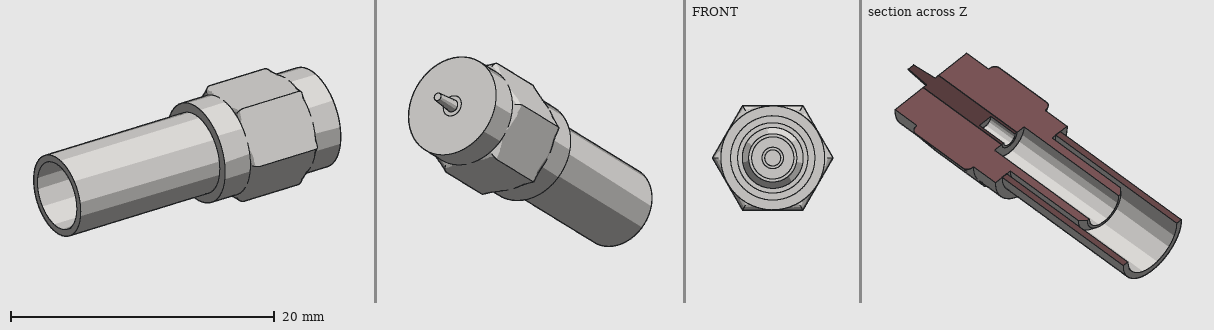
import cadquery as cq

TOTAL_LENGTH = 25.37
FERRULE_LENGTH = 12.7
COLLAR_LENGTH = 2.3
HEX_LENGTH = 5.95
HEX_START = FERRULE_LENGTH + COLLAR_LENGTH
HOUSING_FRONT = HEX_START + HEX_LENGTH + COLLAR_LENGTH

HEX_ACROSS_CORNERS = 9.15
HEX_END_ROUND = 0.5
COLLAR_RADIUS = 3.93
SPIGOT_RADIUS = 2.3
SPIGOT_TIP_RADIUS = 1.83
SPIGOT_TIP_TAPER = SPIGOT_RADIUS - SPIGOT_TIP_RADIUS
SPIGOT_BORE_RADIUS = 1.6
SPIGOT_START = 5.07

FERRULE_RADIUS = 3.2
FERRULE_BORE_RADIUS = 2.66

BARREL_RADIUS = 0.8
CUP_RADIUS = 0.6
CUP_DEPTH = 2.54
TIP_BASE_RADIUS = 0.48
TIP_END_RADIUS = 0.3


def rod(radius, start, end):
    """Solid cylinder on the Y axis from start to end."""
    return cq.Workplane("XZ", origin=(0, start, 0)).circle(radius).extrude(start - end)


def turned_cone(start_radius, end_radius, start, end):
    """Solid cone frustum on the Y axis from start to end."""
    profile = [(0, start), (start_radius, start), (end_radius, end), (0, end)]
    return cq.Workplane("XY").polyline(profile).close().revolve(360, (0, 0, 0), (0, 1, 0))


def make_grip():
    """Hexagon and its two collars, with the end edges of the flats rounded."""
    hexagon = (
        cq.Workplane("XZ", origin=(0, HEX_START, 0))
        .polygon(6, HEX_ACROSS_CORNERS)
        .extrude(-HEX_LENGTH)
    )
    collars = rod(COLLAR_RADIUS, FERRULE_LENGTH, HOUSING_FRONT)
    grip = hexagon.union(collars)
    return grip.edges("%LINE and #Y").fillet(HEX_END_ROUND)


def make_housing():
    """Grip with the hollow spigot at its back and the pin bore through its front."""
    spigot_shoulder = SPIGOT_START + SPIGOT_TIP_TAPER
    tip = turned_cone(SPIGOT_TIP_RADIUS, SPIGOT_RADIUS, SPIGOT_START, spigot_shoulder)
    spigot = rod(SPIGOT_RADIUS, spigot_shoulder, HEX_START)
    cable_bore = rod(SPIGOT_BORE_RADIUS, SPIGOT_START, HEX_START)
    pin_bore = rod(BARREL_RADIUS, HEX_START, HOUSING_FRONT)
    return make_grip().union(spigot).union(tip).cut(cable_bore).cut(pin_bore)


def make_ferrule():
    """Tube that butts against the back face of the housing."""
    bore = rod(FERRULE_BORE_RADIUS, 0, FERRULE_LENGTH)
    return rod(FERRULE_RADIUS, 0, FERRULE_LENGTH).cut(bore)


def make_pin():
    """Barrel filling the pin bore, with the tip standing out of the front face."""
    barrel = rod(BARREL_RADIUS, HEX_START, HOUSING_FRONT)
    tip = turned_cone(TIP_BASE_RADIUS, TIP_END_RADIUS, HOUSING_FRONT, TOTAL_LENGTH)
    solder_cup = rod(CUP_RADIUS, HEX_START, HEX_START + CUP_DEPTH)
    return barrel.union(tip).cut(solder_cup)


housing = make_housing()
ferrule = make_ferrule()
pin = make_pin()

result = cq.Compound.makeCompound([housing.val(), ferrule.val(), pin.val()])